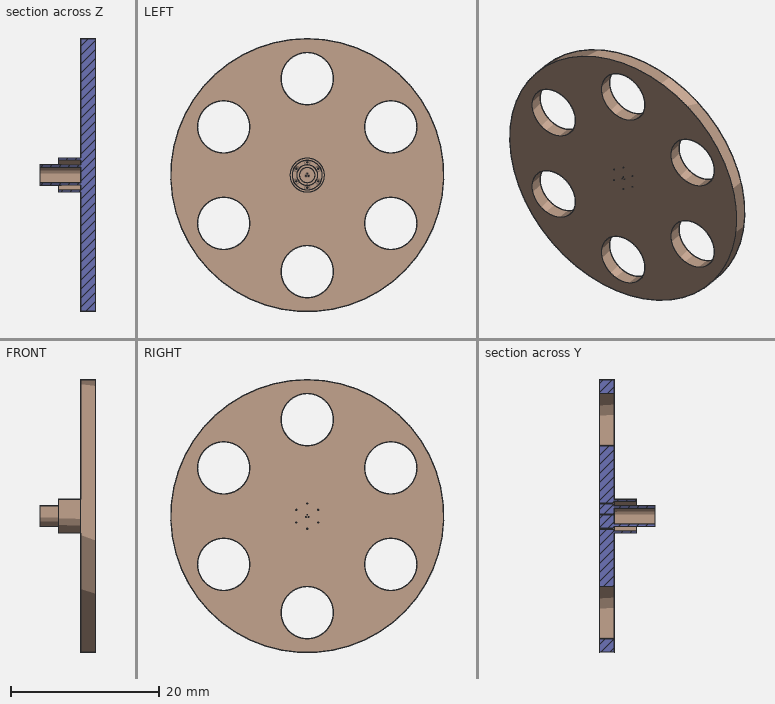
import cadquery as cq
import math

disc_diameter = 36.8
disc_thickness = 2.0
window_diameter = 7.0
window_count = 6
window_circle_radius = 13.0

hub_diameter = 4.6
hub_length = 3.0
tube_diameter = 2.8
tube_bore_diameter = 2.06
tube_projection = 2.5

groove_outer_diameter = 4.0
groove_depth = hub_length

groove_pinhole_diameter = 0.1
groove_mouth_radius = 0.3
groove_pinhole_count = 6
groove_pinhole_circle_radius = (groove_outer_diameter + tube_diameter) / 4

bore_pinhole_diameter = 0.074
bore_mouth_radius = 0.1
bore_pinhole_count = 3
bore_pinhole_circle_radius = 0.2

disc_face_x = 0.0
disc_back_x = disc_face_x + disc_thickness
hub_face_x = disc_face_x - hub_length
tube_end_x = hub_face_x - tube_projection
groove_floor_x = hub_face_x + groove_depth
bore_floor_x = disc_face_x

first_angle = 90.0


def cylinder(diameter, start_x, end_x, y=0.0, z=0.0):
    """Cylinder along X between two stations."""
    start = cq.Vector(start_x, y, z)
    return cq.Workplane(cq.Solid.makeCylinder(diameter / 2, end_x - start_x, start, cq.Vector(1, 0, 0)))


def flared_pinhole(diameter, mouth_radius, floor_x, y, z):
    """Hole through the disc whose mouth flares out to meet the floor tangentially."""
    hole_radius = diameter / 2
    mouth_outer_radius = hole_radius + mouth_radius
    arc_offset = mouth_radius * math.sqrt(0.5)
    arc_middle = (floor_x + mouth_radius - arc_offset, mouth_outer_radius - arc_offset)
    profile = (
        cq.Workplane("XY")
        .moveTo(floor_x, 0)
        .lineTo(floor_x, mouth_outer_radius)
        .threePointArc(arc_middle, (floor_x + mouth_radius, hole_radius))
        .lineTo(disc_back_x, hole_radius)
        .lineTo(disc_back_x, 0)
        .close()
    )
    return profile.revolve(360, (0, 0, 0), (1, 0, 0)).translate((0, y, z))


def circle_places(radius, count):
    """Evenly spaced (y, z) places around the axis, the first one straight up."""
    angles = [math.radians(first_angle + 360.0 * i / count) for i in range(count)]
    return [(radius * math.cos(a), radius * math.sin(a)) for a in angles]


def make_disc():
    disc = cylinder(disc_diameter, disc_face_x, disc_back_x)
    for y, z in circle_places(window_circle_radius, window_count):
        disc = disc.cut(cylinder(window_diameter, disc_face_x, disc_back_x, y, z))
    return disc


def make_hub():
    wall = cylinder(hub_diameter, hub_face_x, disc_face_x)
    wall = wall.cut(cylinder(groove_outer_diameter, hub_face_x, groove_floor_x))
    tube = cylinder(tube_diameter, tube_end_x, disc_face_x)
    return wall.union(tube).cut(cylinder(tube_bore_diameter, tube_end_x, bore_floor_x))


def cut_pinholes(body):
    for y, z in circle_places(groove_pinhole_circle_radius, groove_pinhole_count):
        body = body.cut(flared_pinhole(groove_pinhole_diameter, groove_mouth_radius, groove_floor_x, y, z))
    for y, z in circle_places(bore_pinhole_circle_radius, bore_pinhole_count):
        body = body.cut(flared_pinhole(bore_pinhole_diameter, bore_mouth_radius, bore_floor_x, y, z))
    return body


result = cut_pinholes(make_disc().union(make_hub()))